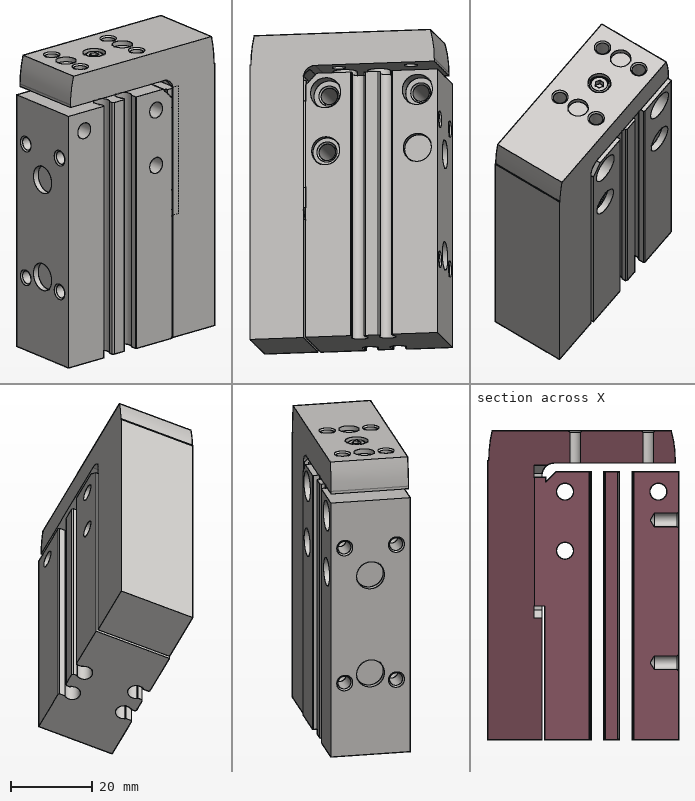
import cadquery as cq
import math


housing_width = 20.0
housing_depth = 33.0
housing_height = 66.0
housing_mid_y = housing_depth / 2
housing_back_chamfer = 2.8

table_width = 19.45
table_back_y = 47.0
table_height = 76.0
plate_thickness = 8.0
plate_underside_z = table_height - plate_thickness
plate_front_y = 0.8
leg_thickness = 13.4
leg_front_y = table_back_y - leg_thickness
inner_corner_radius = 3.0
nose_flat_height = 0.7
nose_set_back = 1.0
back_set_back = 0.8
back_ledge = 0.2

slot_offset = 3.5
slot_throat = 3.05
slot_lip_depth = 1.7
slot_bore_diameter = 4.0
rib_recess = 0.4
rib_chamfer_width = 0.45
rib_chamfer_depth = 0.3
slot_mouth_chamfer = 0.2
slot_shoulder = 0.19

side_hole_front_y = 5.0
side_hole_back_y = 28.0
side_hole_upper_z = 61.0
side_hole_lower_z = 46.5
side_hole_diameter = 4.1
side_hole_mouth_diameter = 5.0
deep_counterbore_diameter = 7.5
deep_counterbore_depth = 4.5
shallow_counterbore_diameter = 7.0
shallow_counterbore_depth = 1.75

tapped_diameter = 3.3
tapped_mouth_diameter = 4.0
front_hole_x = 6.5
front_hole_zs = (19.0, 54.0)
front_hole_depth = 6.0
drill_point_angle = 118.0
port_diameter = 7.0
port_depth = 1.5
port_zs = (21.05, side_hole_lower_z)

guide_bottom_z = 32.9
guide_top_z = 64.6
end_cap_height = 5.0
end_cap_half_width = 8.05
end_cap_front_y = 33.2
guide_half_width = 7.5
guide_front_y = 32.7
pocket_half_width = 9.4
pocket_depth = 2.0
pocket_clearance = 2.9
pocket_corner_chamfer = 2.0
pocket_floor_y = leg_front_y + pocket_depth

plate_hole_x = 5.5
plate_hole_spacing = 18.0
plate_row_ys = (housing_mid_y - plate_hole_spacing / 2, housing_mid_y + plate_hole_spacing / 2)
locating_diameter = 5.0
locating_depth = 1.2
rod_diameter = 5.6
rod_end_diameter = 4.8
rod_end_chamfer = 0.4
rod_recess_depth = 1.2
rod_end_height = 0.75
hex_across_flats = 2.0
hex_depth = 1.5
stop_diameter = 6.0
stop_chamfer = 0.3
stop_y = 25.0


def box(x_range, y_range, z_range):
    """Axis-aligned block from its ranges along X, Y and Z."""
    size = [high - low for low, high in (x_range, y_range, z_range)]
    corner = (x_range[0], y_range[0], z_range[0])
    return cq.Workplane("XY").box(*size, centered=False).translate(corner)


def cylinder(diameter, length, start, direction):
    """Cylinder that begins at a point and runs along a direction."""
    return cq.Workplane(cq.Solid.makeCylinder(diameter / 2, length, cq.Vector(*start), cq.Vector(*direction)))


def cone(mouth_diameter, end_diameter, length, start, direction):
    """Cone frustum that begins at a point and runs along a direction."""
    return cq.Workplane(
        cq.Solid.makeCone(
            mouth_diameter / 2, end_diameter / 2, length, cq.Vector(*start), cq.Vector(*direction)
        )
    )


def countersunk_hole(diameter, mouth_diameter, length, start, direction):
    """Hole with a 45 degree chamfer at its mouth."""
    chamfer = (mouth_diameter - diameter) / 2
    hole = cylinder(diameter, length, start, direction)
    return hole.union(cone(mouth_diameter, diameter, chamfer, start, direction))


def sensor_slots():
    """Cutter for the slot pair of the -X side; each throat widens below its lips into a round bore."""
    face_x = -housing_width / 2
    lip_x = face_x + slot_lip_depth
    rib_x = face_x + rib_recess
    bore_radius = slot_bore_diameter / 2
    half_throat = slot_throat / 2
    bore_x = lip_x + math.sqrt(bore_radius**2 - half_throat**2)
    rib_half_width = slot_offset - half_throat
    rib_flat_half = rib_half_width - rib_chamfer_width
    cutter = (
        cq.Workplane("XY")
        .polyline(
            [
                (face_x, housing_mid_y - rib_half_width),
                (rib_x + rib_chamfer_depth, housing_mid_y - rib_half_width),
                (rib_x, housing_mid_y - rib_flat_half),
                (rib_x, housing_mid_y + rib_flat_half),
                (rib_x + rib_chamfer_depth, housing_mid_y + rib_half_width),
                (face_x, housing_mid_y + rib_half_width),
            ]
        )
        .close()
        .extrude(housing_height)
    )
    for side in (-1, 1):
        slot_y = housing_mid_y + side * slot_offset
        half_outline = [
            (face_x, half_throat + slot_mouth_chamfer),
            (face_x + slot_mouth_chamfer, half_throat),
            (lip_x, half_throat),
            (lip_x + slot_shoulder, half_throat + slot_shoulder),
            (bore_x, bore_radius),
        ]
        mirrored_outline = [(x, -offset) for x, offset in reversed(half_outline)]
        throat = (
            cq.Workplane("XY", origin=(0, slot_y, 0))
            .polyline(half_outline + mirrored_outline)
            .close()
            .extrude(housing_height)
        )
        bore = cylinder(slot_bore_diameter, housing_height, (bore_x, slot_y, 0), (0, 0, 1))
        cutter = cutter.union(throat).union(bore)
    return cutter


def side_holes():
    """Cutter for the holes that enter from the -X side."""
    face_x = -housing_width / 2
    inward = (1, 0, 0)

    def counterbored(y, z, diameter, depth):
        bore = cylinder(diameter, depth, (face_x, y, z), inward)
        hole = countersunk_hole(
            side_hole_diameter,
            side_hole_mouth_diameter,
            housing_width - depth,
            (face_x + depth, y, z),
            inward,
        )
        return bore.union(hole)

    cutter = cylinder(
        shallow_counterbore_diameter,
        shallow_counterbore_depth,
        (face_x, side_hole_front_y, side_hole_lower_z),
        inward,
    )
    for y in (side_hole_front_y, side_hole_back_y):
        cutter = cutter.union(
            counterbored(y, side_hole_upper_z, deep_counterbore_diameter, deep_counterbore_depth)
        )
    return cutter.union(
        counterbored(
            side_hole_back_y, side_hole_lower_z, shallow_counterbore_diameter, shallow_counterbore_depth
        )
    )


def front_holes():
    """Cutter for the drilled holes and port recesses of the front face."""
    inward = (0, 1, 0)
    point_length = tapped_diameter / 2 / math.tan(math.radians(drill_point_angle / 2))
    cutter = cq.Workplane("XY")
    for z in front_hole_zs:
        for x in (-front_hole_x, front_hole_x):
            hole = countersunk_hole(
                tapped_diameter, tapped_mouth_diameter, front_hole_depth, (x, 0, z), inward
            )
            point = cone(tapped_diameter, 0, point_length, (x, front_hole_depth, z), inward)
            cutter = cutter.add(hole).add(point)
    for z in port_zs:
        cutter = cutter.add(cylinder(port_diameter, port_depth, (0, 0, z), inward))
    return cutter.combine()


def guide():
    """Guide carriage: a stem over the full height with a wider cap at each end."""
    carriage = box(
        (-guide_half_width, guide_half_width),
        (guide_front_y, pocket_floor_y),
        (guide_bottom_z, guide_top_z),
    )
    for cap_z in (guide_bottom_z, guide_top_z - end_cap_height):
        cap = box(
            (-end_cap_half_width, end_cap_half_width),
            (end_cap_front_y, pocket_floor_y),
            (cap_z, cap_z + end_cap_height),
        )
        carriage = carriage.union(cap)
    return carriage


def make_housing():
    half_width = housing_width / 2
    block = box((-half_width, half_width), (0, housing_depth), (0, housing_height))
    block = block.faces(">Z").edges(">Y").chamfer(housing_back_chamfer)
    slots = sensor_slots()
    block = block.cut(slots).cut(slots.mirror("YZ"))
    block = block.cut(side_holes()).cut(front_holes())
    return block.union(guide())


def table_profile():
    """L-shaped side outline of the table with curved ends, extruded over its width."""
    nose_z = plate_underside_z + nose_flat_height
    back_arc_y = table_back_y - back_ledge

    def end_arc_middle(end_y, set_back, inward):
        """Midpoint of the arc that leaves the vertical end tangentially and leans inward."""
        rise = table_height - nose_z
        radius = (rise**2 + set_back**2) / (2 * set_back)
        half_angle = math.asin(rise / radius) / 2
        lean = radius * (1 - math.cos(half_angle))
        return (end_y + inward * lean, nose_z + radius * math.sin(half_angle))

    return (
        cq.Workplane("YZ", origin=(-table_width / 2, 0, 0))
        .moveTo(leg_front_y, 0)
        .lineTo(table_back_y, 0)
        .lineTo(table_back_y, nose_z)
        .lineTo(back_arc_y, nose_z)
        .threePointArc(
            end_arc_middle(back_arc_y, back_set_back, -1), (back_arc_y - back_set_back, table_height)
        )
        .lineTo(plate_front_y + nose_set_back, table_height)
        .threePointArc(end_arc_middle(plate_front_y, nose_set_back, 1), (plate_front_y, nose_z))
        .lineTo(plate_front_y, plate_underside_z)
        .lineTo(leg_front_y - inner_corner_radius, plate_underside_z)
        .radiusArc((leg_front_y, plate_underside_z - inner_corner_radius), inner_corner_radius)
        .close()
        .extrude(table_width)
    )


def guide_pocket():
    """Cutter for the leg pocket, with clearance above and below the guide."""
    pocket = box(
        (-pocket_half_width, pocket_half_width),
        (leg_front_y - inner_corner_radius, pocket_floor_y),
        (guide_bottom_z - pocket_clearance, guide_top_z + pocket_clearance),
    )
    return pocket.edges("|Y").chamfer(pocket_corner_chamfer)


def plate_holes():
    """Cutter for the through holes and blind locating holes of the plate."""
    down = (0, 0, -1)
    cutter = cq.Workplane("XY")
    for y in plate_row_ys:
        cutter = cutter.add(cylinder(locating_diameter, locating_depth, (0, y, table_height), down))
        for x in (-plate_hole_x, plate_hole_x):
            cutter = cutter.add(
                countersunk_hole(
                    tapped_diameter, tapped_mouth_diameter, plate_thickness, (x, y, table_height), down
                )
            )
    return cutter.combine()


def rod_end():
    """Chamfered rod end that stands on the floor of its recess."""
    floor_z = table_height - rod_recess_depth
    end = cylinder(rod_end_diameter, rod_end_height, (0, housing_mid_y, floor_z), (0, 0, 1))
    return end.faces(">Z").chamfer(rod_end_chamfer)


def hexagon_socket():
    """Cutter for the hexagon socket in the rod end."""
    hex_across_corners = hex_across_flats / math.cos(math.radians(30))
    rod_top_z = table_height - rod_recess_depth + rod_end_height
    return (
        cq.Workplane("XY", origin=(0, housing_mid_y, rod_top_z))
        .polygon(6, hex_across_corners)
        .extrude(-hex_depth)
    )


def make_table():
    down = (0, 0, -1)
    gap = plate_underside_z - housing_height
    rod = cylinder(rod_diameter, gap, (0, housing_mid_y, plate_underside_z), down)
    stop = cylinder(stop_diameter, gap, (0, stop_y, plate_underside_z), down)
    stop = stop.faces("<Z").chamfer(stop_chamfer)
    rod_recess = cylinder(rod_diameter, rod_recess_depth, (0, housing_mid_y, table_height), down)
    table = table_profile().cut(guide_pocket()).cut(plate_holes()).cut(rod_recess)
    return table.union(rod_end()).cut(hexagon_socket()).union(rod).union(stop)


housing = make_housing()
table = make_table()
result = cq.Compound.makeCompound([housing.val(), table.val()])